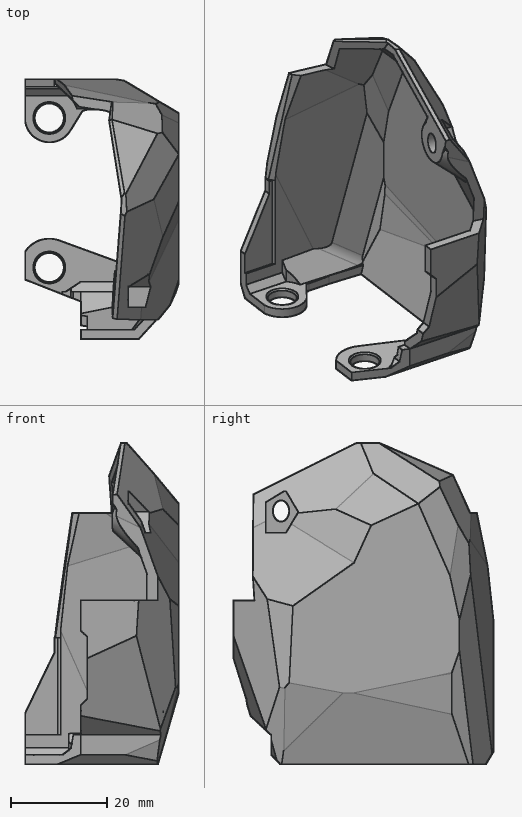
import cadquery as cq
import math


LENGTH_X = 32.0
LENGTH_Y = 54.1
HEIGHT = 66.9
WALL = 2
SIDE_WALL = 1.8
BLOCK = 200.7
GROUND = cq.Vector(20.1, 26.75, -BLOCK)
INSIDE = cq.Vector(20.1, 26.75, 26.75)

BASE_TOP = 6.15
BASE_FRONT = 7.8
BASE_CHAMFER = 1.95

PLATE_LEFT = 11.6
PLATE_TOP = 34.1
PLATE_NOTCH = ((12.3, 0), (13.65, 1.35), (26.55, 1.35), (27.8, 0))

BACK_TOP = 52.3
TAB_HEIGHT = 10.7
TAB_SLOPE_TOP = (6.1, 23.3)
RIM_FOOT = 26.35
RECESS_RIGHT = 7.35
RECESS_BEVEL = 0.55
RECESS_DEPTH = 0.4

HOLE_D = 6
HOLE_CHAMFER = 0.35
LUG_X = 5.0
NEAR_LUG_Y = 14.9
NEAR_LUG_R = 6
NEAR_LUG_CORNER = 12.4
NEAR_FLOOR_SLOPE = -0.365
FAR_LUG_Y = 46.0
FAR_LUG_R = 5.1
FAR_FLOOR_EDGE = 47.7
FAR_LUG_TANGENT = (9.4, 43.4)
FAR_LUG_NECK = (11.9, 47.4)
SCREW_HEAD_R = 6.1
SCREW_HEAD_RIGHT = 9.0
COVE_R = 2.7

BOSS_Y = 9.9
BOSS_Z = 52.7
BOSS_TIP_X = 17.4
BOSS_TIP_R = 3.35
BOSS_BASE_R = 16.7
BOSS_AXIS = (1, -0.06, 0)
BOSS_WEB = [(13.9, 53.85), (12.0, 57.9), (4, 57.55), (4.7, 54.5), (6.35, 50.5)]
BOSS_WEB_END_X = 22.1
BOSS_HOLE_Y = 3.35
BOSS_HOLE_Z = 4.35
NUT_SEAT_X = 21.4
NUT_MIDDLE_Z = 52.5
NUT_HALF_HEIGHT = 4.35
NUT_NEAR_Y = 6.7
NUT_SHOULDER_Y = 10.9
NUT_POINT_Y = 13.5

PEAK_FRONT = (21.15, 26.5, HEIGHT)
PEAK_BACK = (20.6, 30.45, HEIGHT)
SHOULDER = (26.75, 29.1, 60.55)
SIDE_TOP = (LENGTH_X, 38.5, 54.25)
FRONT_KNEE = (28.55, 21.1, 53.2)
SIDE_KNEE = (LENGTH_X, 28.8, 50.0)
SIDE_FRONT = (LENGTH_X, 25.1, 41.95)
CHEEK = (27.6, 4, 39.15)
BROW_TIP = (19.1, 4.15, 56.2)
CREST = (18.05, 45.7, 60.2)
CREST_FAR = (26.9, 43.0, 59.0)
NAPE = (18.05, 49.4, BACK_TOP)
BACK_RIDGE = (8.7, 52.8, 41.5)
BACK_RIDGE_FAR = (26.75, 49.0, 47.0)
CORNER_TOP = (28.4, 46.7, 49.9)
CORNER_CREST = (28.4, 43.3, 57.7)
CORNER_SIDE = (LENGTH_X, 47.0, 30.1)
BACK_FOOT = (18.7, LENGTH_Y, 2.7)
PLATE_CORNER = (23.15, 0, 26.75)
CHIN = (28.1, 6.9, 6.95)
FOOT_X = 27.6

ROOF_FACETS = [
    (PEAK_FRONT, SHOULDER, SIDE_TOP),
    (CREST, CREST_FAR, PEAK_BACK),
    (NAPE, CREST, CREST_FAR),
    (CORNER_TOP, CORNER_CREST, SIDE_TOP),
    (PEAK_FRONT, SHOULDER, BROW_TIP),
    (SHOULDER, SIDE_TOP, FRONT_KNEE),
]
VALLEY_FACETS = [
    (FRONT_KNEE, SIDE_KNEE, SIDE_FRONT),
    (SIDE_FRONT, (LENGTH_X, 12.4, 33.0), CHEEK),
]
BACK_FACETS = [
    ((9.9, 50.65, BACK_TOP), (18.05, 49.4, BACK_TOP), BACK_RIDGE),
    (BACK_RIDGE, BACK_RIDGE_FAR, BACK_FOOT),
    (CORNER_TOP, (LENGTH_X, 44.5, 41.8), CORNER_SIDE),
    ((20.1, LENGTH_Y, 0), CORNER_SIDE, (LENGTH_X, 47.0, 0)),
    ((0, LENGTH_Y, 0), (0.7, LENGTH_Y, 0), (0, LENGTH_Y, 0.7)),
]
SIDE_FACETS = [
    ((FOOT_X, 0, 0), (FOOT_X, 0.7, 0), (LENGTH_X, 0, 14.9)),
    ((23.6, 0, PLATE_TOP), PLATE_CORNER, CHEEK),
]
FRONT_FACETS = [
    ((0, 0, 0), (1, 0, 0), (0, 0, 1)),
    ((12.9, 0, 22.1), PLATE_CORNER, CHIN),
    ((PLATE_LEFT, 3.5, 10.2), CHIN, (PLATE_LEFT, BASE_FRONT, BASE_TOP)),
]
SIDE_INNER_X = LENGTH_X - SIDE_WALL
BAND_FRONT = (30.0, 24.1, 14.9)
BAND_BACK = (30.0, 45.0, 19.2)
LOW_BACK = (28.7, 45.0, 10.7)
LOW_INNER_FACETS = [
    ((SIDE_INNER_X, 11.7, 18.05), BAND_FRONT, (26.9, 11.6, 4.7)),
    ((SIDE_INNER_X, 45.15, 21.2), (SIDE_INNER_X, 20.75, 15.85), BAND_BACK),
    (BAND_FRONT, LOW_BACK, BAND_BACK),
    (BAND_BACK, LOW_BACK, (26.8, 46.8, 3.35)),
]
OUTER_BEVELS = [
    ((30.1, 7.0, 34.1), (31.3, 9.65, 16.05), (LENGTH_X, 12.4, 33.0)),
    ((27.0, 8, 0.7), CHIN, (31.3, 9.65, 16.05)),
    ((0, LENGTH_Y, 2.7), (0.7, LENGTH_Y, 2.7), (0, 52.5, 0)),
]
BASE_WALL = [((0, BASE_FRONT, 0), (0.7, BASE_FRONT, 0), (0, BASE_FRONT, 0.7))]
BASE_BEVELS = [
    ((0, NEAR_LUG_CORNER, 0), (PLATE_LEFT, BASE_FRONT, 0), (0, NEAR_LUG_CORNER, 0.7)),
    ((0, BASE_FRONT, WALL), (0.7, BASE_FRONT, WALL), (0, BASE_FRONT + BASE_CHAMFER, 0)),
    ((20.75, BASE_FRONT, 2), (27.6, BASE_FRONT, 5.0), (27.1, 9.0, 0.7)),
]
RIM_FRONT = ((19.9, 25.4, 66.55), (18.2, 4, 56.0), (18.25, 9.35, 48.85))
RIM_TOP = ((19.9, 30.1, 66.55), (17.4, 45.7, 60.0), (18.0, 44.3, 58.55))
RIM_NAPE = ((17.4, 45.7, 60.0), (17.45, 48.85, BACK_TOP), (17.7, 44.3, 58.55))
RIM_FRONT_BEVEL = ((20.75, 25.6, HEIGHT), BROW_TIP, (19.9, 25.4, 66.55))
RIM_TOP_BEVEL = ((20.75, 30.45, HEIGHT), CREST, (19.9, 30.1, 66.6))
RIM_NAPE_BEVEL = (CREST, (18.0, 49.2, BACK_TOP), (17.4, 45.5, 60.0))
RIM_BACK = ((9.8, 50.65, BACK_TOP), (9.9, 49.7, BACK_TOP), (6.7, LENGTH_Y, 30.8))
RIM_BACK_BEVEL = ((9.9, 49.7, BACK_TOP), (11.2, 48.45, BACK_TOP), (7.35, 52.1, 26.5))
RIM_BROW = (BROW_TIP, (24.2, 4, 49.2), (19.05, 4.8, 51.65))
RIM_CHEEK = ((24.2, 4, 49.2), CHEEK, (19.05, 4.8, 51.65))
BACK_FILLING_SLOPE = ((9.0, 52.1, 6.4), (11.05, 48.2, 2.2), (20.1, 48.2, 2.5))
BACK_FILLING_TOP = 8


def beyond(facet, shift=0, inside=INSIDE):
    """Block on the side of a facet's plane away from `inside`, the plane moved outwards by `shift`."""
    a, b, c = (cq.Vector(*point) for point in facet)
    normal = (b - a).cross(c - a).normalized()
    if normal.dot(inside - a) > 0:
        normal = normal * -1
    plane = cq.Plane(origin=a + normal * shift, xDir=b - a, normal=normal)
    return cq.Workplane(plane).rect(2 * BLOCK, 2 * BLOCK).extrude(BLOCK)


def trimmed(solid, facets, shift=0):
    for facet in facets:
        solid = solid.cut(beyond(facet, shift))
    return solid


def left_of(rim):
    """Block on the open -X side of a rim face."""
    return beyond(rim, inside=cq.Vector(100 * BLOCK, 0, 0))


def box(x, y, z):
    """Box between the (low, high) limits along each axis."""
    sides = [high - low for low, high in (x, y, z)]
    return cq.Workplane(obj=cq.Solid.makeBox(*sides, cq.Vector(x[0], y[0], z[0])))


def profile_along_x(points, x_start, x_end):
    """Prism of a (Y, Z) outline between two X positions."""
    return cq.Workplane("YZ", origin=(x_start, 0, 0)).polyline(points).close().extrude(x_end - x_start)


def profile_along_y(points, y_start, y_end):
    """Prism of an (X, Z) outline between two Y positions."""
    outline = cq.Workplane("XZ", origin=(0, y_start, 0)).polyline(points).close()
    return outline.extrude(y_start - y_end)


def envelope(depth, right):
    """Solid bounded by X = `right` and the facets moved inwards by `depth`, without the front ones."""
    solid = box((-depth, right), (0, LENGTH_Y), (0, HEIGHT + WALL))
    solid = trimmed(solid, ROOF_FACETS + BACK_FACETS + SIDE_FACETS, -depth)
    valley = [beyond(facet, -depth) for facet in VALLEY_FACETS]
    solid = solid.cut(valley[0].intersect(valley[1]))
    return trimmed(solid, LOW_INNER_FACETS, WALL - depth)


def lug_hole(y):
    drill = cq.Workplane("XY").center(LUG_X, y).circle(HOLE_D / 2).extrude(WALL)
    top_r = HOLE_D / 2 + HOLE_CHAMFER
    flare = cq.Solid.makeCone(top_r - HOLE_CHAMFER, top_r, HOLE_CHAMFER,
                              cq.Vector(LUG_X, y, WALL - HOLE_CHAMFER))
    return drill.union(cq.Workplane(obj=flare))


def near_floor():
    reach = math.degrees(math.atan(NEAR_FLOOR_SLOPE)) + 90
    tangent = (LUG_X + NEAR_LUG_R * math.cos(math.radians(reach)),
               NEAR_LUG_Y + NEAR_LUG_R * math.sin(math.radians(reach)))
    left_y = NEAR_LUG_Y + math.sqrt(NEAR_LUG_R**2 - LUG_X**2)
    edge_end = tangent[1] + NEAR_FLOOR_SLOPE * (LENGTH_X - tangent[0])
    outline = (cq.Workplane("XY").moveTo(0, BASE_FRONT).lineTo(0, left_y)
               .threePointArc((LUG_X, NEAR_LUG_Y + NEAR_LUG_R), tangent)
               .lineTo(LENGTH_X, edge_end).lineTo(LENGTH_X, BASE_FRONT).close())
    return outline.extrude(WALL)


def far_floor():
    left_y = FAR_LUG_Y - math.sqrt(FAR_LUG_R**2 - LUG_X**2)
    outline = (cq.Workplane("XY").moveTo(0, LENGTH_Y).lineTo(0, left_y)
               .threePointArc((LUG_X, FAR_LUG_Y - FAR_LUG_R), FAR_LUG_TANGENT)
               .lineTo(*FAR_LUG_NECK).lineTo(13.4, FAR_FLOOR_EDGE + 0.2).lineTo(LENGTH_X, FAR_FLOOR_EDGE - 0.7)
               .lineTo(LENGTH_X, LENGTH_Y).close())
    return outline.extrude(WALL)


full = trimmed(envelope(0, LENGTH_X), OUTER_BEVELS)
above_base = box((0, LENGTH_X), (0, LENGTH_Y), (BASE_TOP, HEIGHT))
below_base_top = box((0, LENGTH_X), (0, LENGTH_Y), (0, BASE_TOP))
upper = trimmed(full.intersect(above_base), FRONT_FACETS)
base = trimmed(full.intersect(below_base_top), BASE_WALL + BASE_BEVELS)
outer = upper.union(base)

hollow = envelope(WALL, SIDE_INNER_X)
hollow_upper = trimmed(hollow, FRONT_FACETS, -WALL)
hollow_base = trimmed(hollow, BASE_WALL, -WALL).intersect(
    box((-WALL, LENGTH_X), (0, LENGTH_Y), (0, BASE_TOP + WALL)))
body = outer.cut(hollow_upper).cut(hollow_base)

inner_front = BASE_FRONT + WALL
inner_back = LENGTH_Y - WALL
front_filling = profile_along_x(
    [(inner_front, 0), (inner_front, 4.3), (inner_front + 2.1, WALL), (inner_front + 2.1, 0)], 0, LENGTH_X)
front_filling = front_filling.cut(
    cq.Workplane("XY").polyline([(0, 0), (0, 13.4), (13.7, 13.4), (8.35, inner_front), (8.35, 0)])
    .close().extrude(BLOCK))
back_filling = box((0, LENGTH_X), (FAR_FLOOR_EDGE, inner_back), (0, BACK_FILLING_TOP))
back_filling = back_filling.cut(beyond(BACK_FILLING_SLOPE, inside=GROUND))
back_filling = back_filling.cut(box((0, SCREW_HEAD_RIGHT), (FAR_FLOOR_EDGE, LENGTH_Y), (0, HEIGHT)))
back_filling = back_filling.cut(
    cq.Workplane("XY").center(LUG_X, FAR_LUG_Y).circle(SCREW_HEAD_R).extrude(HEIGHT))
lug_filling = profile_along_x(
    [(inner_back, 0), (inner_back, 3.5), (inner_back - 1.5, WALL), (inner_back - 1.5, 0)], 0, PLATE_LEFT)
floor = near_floor().union(far_floor()).union(front_filling).union(back_filling).union(lug_filling)
body = body.union(floor.intersect(outer))

body = body.edges(cq.NearestToPointSelector((24.1, 49.2, 3.7))).fillet(COVE_R)

boss = cq.Workplane(obj=cq.Solid.makeCone(
    BOSS_TIP_R, BOSS_BASE_R, LENGTH_X - BOSS_TIP_X,
    cq.Vector(BOSS_TIP_X, BOSS_Y, BOSS_Z), cq.Vector(*BOSS_AXIS)))
boss = boss.union(profile_along_x(BOSS_WEB, BOSS_TIP_X, BOSS_WEB_END_X))
body = body.union(boss.intersect(upper))

end_y = 26.75
plate_edge = [(PLATE_LEFT + depth, z) for z, depth in PLATE_NOTCH]
plate_outline = [(-0.7, WALL), (7.75, WALL), (9.5, 3.35), (10.05, BASE_TOP), (PLATE_LEFT, BASE_TOP)]
plate_outline += plate_edge + [(PLATE_LEFT, PLATE_TOP), (-0.7, PLATE_TOP)]
body = body.cut(profile_along_y(plate_outline, -0.7, end_y))

above_plate = box((-0.7, LENGTH_X), (-0.7, end_y), (PLATE_TOP, HEIGHT + 0.7))
body = body.cut(above_plate.intersect(left_of(RIM_BROW)).intersect(left_of(RIM_CHEEK)))
body = body.cut(box((-0.7, LENGTH_X), (-0.7, end_y), (PLATE_TOP, BACK_TOP)).intersect(left_of(RIM_FRONT)))

above_back = box((-0.7, LENGTH_X), (-0.7, LENGTH_Y), (BACK_TOP, HEIGHT + 0.7))
roof_opening = left_of(RIM_TOP).union(left_of(RIM_NAPE)).intersect(left_of(RIM_FRONT))
body = body.cut(above_back.intersect(roof_opening))
for bevel in (RIM_FRONT_BEVEL, RIM_TOP_BEVEL, RIM_NAPE_BEVEL):
    body = body.cut(above_back.intersect(left_of(bevel)))
back_edge = box((-0.7, LENGTH_X), (40.15, LENGTH_Y), (RIM_FOOT, BACK_TOP))
for rim in (RIM_BACK, RIM_BACK_BEVEL):
    body = body.cut(back_edge.intersect(left_of(rim)))
tab_cut = [(-0.7, TAB_HEIGHT), (0, TAB_HEIGHT), TAB_SLOPE_TOP, (TAB_SLOPE_TOP[0], RIM_FOOT), (-0.7, RIM_FOOT)]
body = body.cut(profile_along_y(tab_cut, 40.15, LENGTH_Y))
recess = (cq.Workplane("XY", origin=(0, 0, BASE_TOP))
          .polyline([(0, inner_back), (RECESS_RIGHT, inner_back),
                     (RECESS_RIGHT - RECESS_BEVEL, inner_back + RECESS_DEPTH), (0, inner_back + RECESS_DEPTH)])
          .close().extrude(RIM_FOOT - BASE_TOP))
body = body.cut(recess)

for lug_y in (NEAR_LUG_Y, FAR_LUG_Y):
    body = body.cut(lug_hole(lug_y))
boss_hole = (cq.Workplane("YZ").center(BOSS_Y, BOSS_Z)
             .ellipse(BOSS_HOLE_Y / 2, BOSS_HOLE_Z / 2).extrude(LENGTH_X))
nut_low = NUT_MIDDLE_Z - NUT_HALF_HEIGHT
nut_high = NUT_MIDDLE_Z + NUT_HALF_HEIGHT
nut_pocket = profile_along_x(
    [(NUT_NEAR_Y, nut_low), (NUT_SHOULDER_Y, nut_low), (NUT_POINT_Y, NUT_MIDDLE_Z),
     (NUT_SHOULDER_Y, nut_high), (NUT_NEAR_Y, nut_high)], NUT_SEAT_X, LENGTH_X)
result = body.cut(boss_hole).cut(nut_pocket)